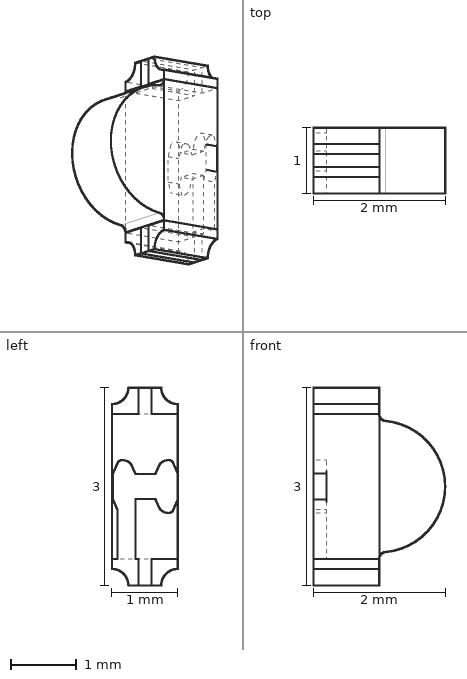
import cadquery as cq
import math


board_length = 3
board_width = board_length / 3
board_thickness = board_length / 3
notch_radius = board_width / 4

terminal_height = 0.4
terminal_gap = 0.198
terminal_width = (board_width - terminal_gap) / 2
terminal_inner_z = board_length / 2 - terminal_height

trace_depth = board_thickness / 5
pad_setback = 0.018
pad_half_width = (board_width - pad_setback) / 2
pad_centre_y = -pad_setback / 2
pad_side_half_height = 0.198
neck_half_width = 0.15
neck_half_height = 0.19
crest_half_height = 0.4
crest_inner_y = 0.243
crest_outer_y = 0.402
lobe_inner_radius = 0.15
lobe_outer_radius = 0.06
strip_outer_y = 0.417
strip_inner_y = pad_centre_y + neck_half_width

lens_radius = board_thickness
lens_root_radius = lens_radius / 10


CORNERS = [(-1, -1), (-1, 1), (1, -1), (1, 1)]
TRACE_CORNER = (1, -1)


def make_terminal_block(y_sign, z_sign):
    """Full-thickness block at one board corner, still without its notch."""
    centre_y = y_sign * (board_width - terminal_width) / 2
    centre_z = z_sign * (board_length - terminal_height) / 2
    return (
        cq.Workplane("YZ")
        .center(centre_y, centre_z)
        .rect(terminal_width, terminal_height)
        .extrude(board_thickness)
    )


def make_terminal(y_sign, z_sign):
    """Full-thickness terminal at one board corner, with its quarter-round notch."""
    notch = (
        cq.Workplane("YZ")
        .center(y_sign * board_width / 2, z_sign * board_length / 2)
        .circle(notch_radius)
        .extrude(board_thickness)
    )
    return make_terminal_block(y_sign, z_sign).cut(notch)


def round_crest_corners(pad, corner_y, radius):
    """Round the crest corner at distance corner_y from the pad's middle on all four lobes."""
    edges = []
    for y_sign, z_sign in CORNERS:
        corner = (trace_depth / 2, y_sign * corner_y, z_sign * crest_half_height)
        edges.append(pad.edges("|X").edges(cq.NearestToPointSelector(corner)).val())
    return pad.newObject(edges).fillet(radius)


def make_pad():
    """Four-lobed pad: straight flanks, rounded crests and a narrow neck in the middle."""
    quarter = [
        (neck_half_width, neck_half_height),
        (crest_inner_y, crest_half_height),
        (crest_outer_y, crest_half_height),
        (pad_half_width, pad_side_half_height),
    ]
    lower_right = [(y, -z) for y, z in reversed(quarter)]
    right_half = quarter + lower_right
    left_half = [(-y, -z) for y, z in right_half]
    pad = cq.Workplane("YZ").polyline(right_half + left_half).close().extrude(trace_depth)

    pad = round_crest_corners(pad, crest_inner_y, lobe_inner_radius)
    pad = round_crest_corners(pad, crest_outer_y, lobe_outer_radius)
    return pad.translate((0, pad_centre_y, 0))


def make_trace():
    """Pad with the strip that joins it to the +Y, -Z terminal."""
    strip = (
        cq.Workplane("YZ")
        .center((strip_inner_y + strip_outer_y) / 2, -terminal_inner_z / 2)
        .rect(strip_outer_y - strip_inner_y, terminal_inner_z)
        .extrude(trace_depth)
    )
    return make_pad().union(strip)


def make_board(trace):
    """Insulating block with room for the four terminals and a recess for the trace."""
    board = cq.Workplane("YZ").rect(board_width, board_length).extrude(board_thickness)
    for y_sign, z_sign in CORNERS:
        board = board.cut(make_terminal_block(y_sign, z_sign))
    return board.cut(trace)


def make_lens():
    """Half-cylinder lens with a concave fillet at each end of its base."""
    face_x = board_thickness
    root_centre_z = math.sqrt((lens_radius + lens_root_radius) ** 2 - lens_root_radius ** 2)
    share = lens_radius / (lens_radius + lens_root_radius)
    tangent_x = face_x + lens_root_radius * share
    tangent_z = root_centre_z * share
    half_angle = math.atan2(root_centre_z, lens_root_radius) / 2
    middle_x = face_x + lens_root_radius * (1 - math.cos(half_angle))
    middle_z = root_centre_z - lens_root_radius * math.sin(half_angle)
    return (
        cq.Workplane("XZ")
        .moveTo(face_x, -root_centre_z)
        .threePointArc((middle_x, -middle_z), (tangent_x, -tangent_z))
        .threePointArc((face_x + lens_radius, 0), (tangent_x, tangent_z))
        .threePointArc((middle_x, middle_z), (face_x, root_centre_z))
        .close()
        .extrude(board_width / 2, both=True)
    )


trace = make_trace()
board = make_board(trace)
lens = make_lens()
trace_terminal = make_terminal(*TRACE_CORNER).union(trace)
plain_terminals = [make_terminal(*corner) for corner in CORNERS if corner != TRACE_CORNER]

bodies = [board, lens, trace_terminal] + plain_terminals
result = cq.Compound.makeCompound([body.solids().val() for body in bodies])